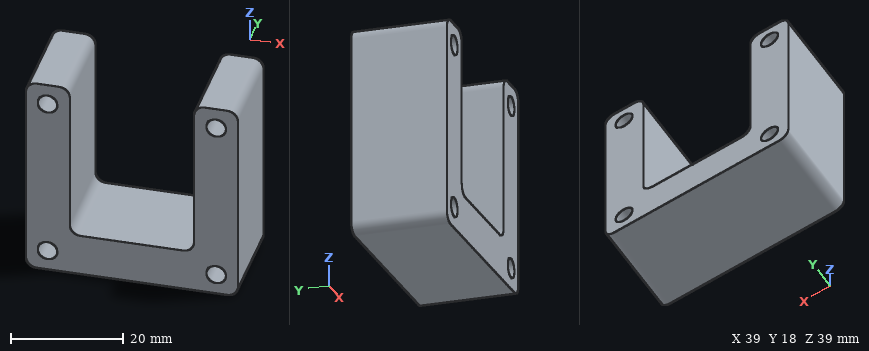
import cadquery as cq

side = 39.0
depth = 18.0
slot_width = 22.8
corner_radius = 2.0
hole_spacing = 31.0
hole_diameter = 3.6

wall = (side - slot_width) / 2
half_side = side / 2
half_slot = slot_width / 2
slot_floor = -half_side + wall


def u_block():
    """U-shaped block, open at the top, with all lengthwise edges rounded."""
    outline = [
        (-half_side, -half_side),
        (half_side, -half_side),
        (half_side, half_side),
        (half_slot, half_side),
        (half_slot, slot_floor),
        (-half_slot, slot_floor),
        (-half_slot, half_side),
        (-half_side, half_side),
    ]
    block = cq.Workplane("XZ").polyline(outline).close().extrude(depth / 2, both=True)
    return block.edges("|Y").fillet(corner_radius)


def through_holes():
    """Four cylinders running the full depth, one near each outer corner."""
    return (
        cq.Workplane("XZ")
        .rect(hole_spacing, hole_spacing, forConstruction=True)
        .vertices()
        .circle(hole_diameter / 2)
        .extrude(depth / 2, both=True)
    )


result = u_block().cut(through_holes())